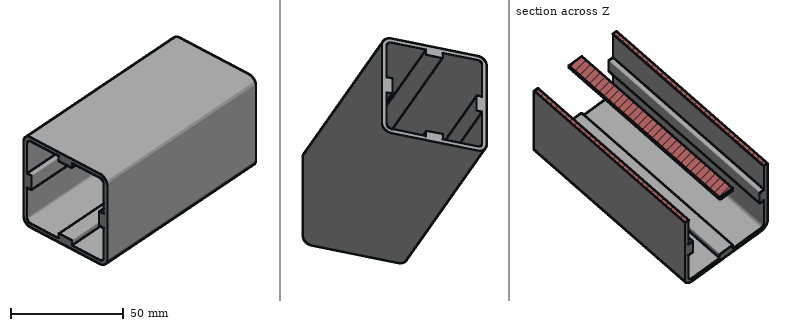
import cadquery as cq

outer_width = 50.0
tube_length = 100.0
wall = 2.25
outer_radius = 4.5
inner_radius = outer_radius - wall

rib_width = 8.0
rib_height = 2.75
rib_edge_radius = 0.5
rib_count = 4

inner_width = outer_width - 2 * wall


def square_bar(width, corner_radius):
    """Square bar along Y with its four long edges rounded."""
    bar = cq.Workplane("XY").box(width, tube_length, width)
    return bar.edges("|Y").fillet(corner_radius)


def top_rib():
    """Rib under the top wall, rooted in the wall, with rounded lower edges."""
    root_z = (outer_width + inner_width) / 4
    tip_z = inner_width / 2 - rib_height
    rib = cq.Workplane("XY").box(rib_width, tube_length, root_z - tip_z)
    rib = rib.faces("<Z").edges("|Y").fillet(rib_edge_radius)
    return rib.translate((0, 0, (root_z + tip_z) / 2))


result = square_bar(outer_width, outer_radius).cut(square_bar(inner_width, inner_radius))

for index in range(rib_count):
    angle = index * 360 / rib_count
    result = result.union(top_rib().rotate((0, 0, 0), (0, 1, 0), angle))